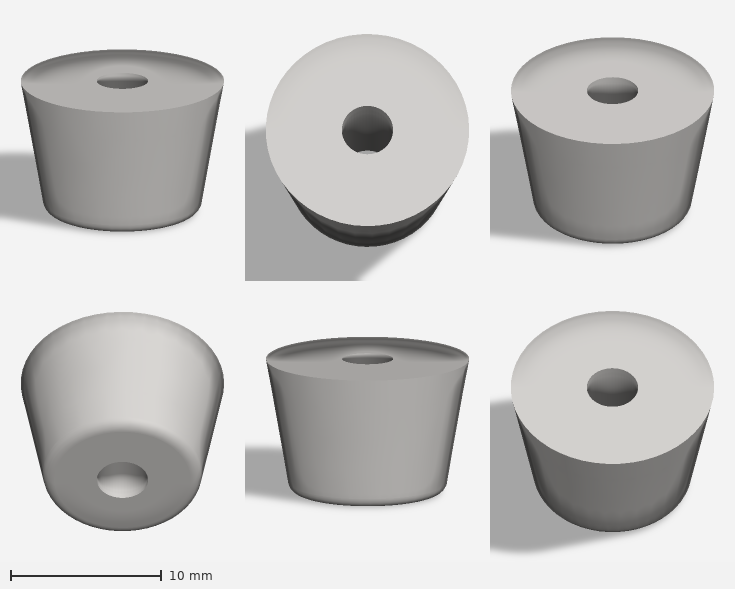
import cadquery as cq
import math

top_diameter = 13.5
height = 9.0
wall_draft_deg = 10.0
hole_diameter = 3.4
bottom_edge_radius = 0.75

top_radius = top_diameter / 2
bottom_radius = top_radius - height * math.tan(math.radians(wall_draft_deg))


def tapered_body():
    """Cone frustum about Z, standing on Z = 0, with a rounded bottom edge."""
    half_profile = (
        cq.Workplane("XZ")
        .polyline([(0, 0), (bottom_radius, 0), (top_radius, height), (0, height)])
        .close()
    )
    frustum = half_profile.revolve(360, (0, 0, 0), (0, 1, 0))
    return frustum.faces("<Z").edges().fillet(bottom_edge_radius)


def screw_hole():
    """Straight cylinder through the full height."""
    return cq.Workplane("XY").circle(hole_diameter / 2).extrude(height)


result = tapered_body().cut(screw_hole())